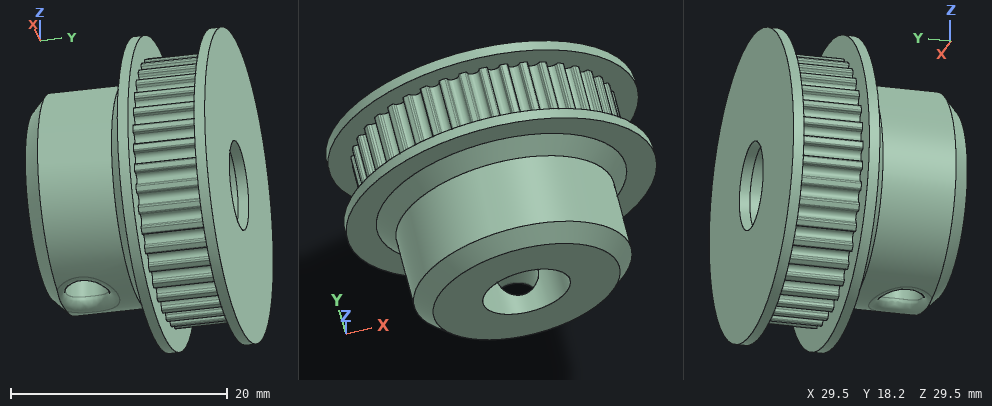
import cadquery as cq
import math

flange_radius = 14.73
flange_thickness = 1.0
hub_radius = 10.37
hub_length = 6.98
bevel = 1.5
bore_radius = 4.15

tooth_count = 40
tooth_radius = 12.52
belt_width = 6.25
groove_depth = 0.75
floor_radius = 0.55
flank_radius = 1.0
tip_radius = 0.15

screw_radius = 2.0
screw_mouth_fillet = 1.0
screw_y = 3.9

hub_start_y = bevel
hub_end_y = hub_start_y + hub_length
front_flange_y = hub_end_y + bevel
rim_y = front_flange_y + flange_thickness
back_flange_y = rim_y + belt_width


def disc(radius, start_y, length):
    """Solid cylinder around the pulley axis."""
    return cq.Workplane("XZ", origin=(0, start_y, 0)).circle(radius).extrude(-length)


def turned(profile):
    """Solid of revolution around the pulley axis from (radius, Y) points."""
    return cq.Workplane("XY").polyline(profile).close().revolve(360, (0, 0, 0), (0, 1, 0))


def make_screw_hole():
    """Cutter for the screw hole, pointing along -Z from the pulley axis."""
    return cq.Workplane("XY", origin=(0, screw_y, 0)).circle(screw_radius).extrude(-flange_radius)


def make_hub():
    """Bored hub with a rounded screw hole and bevels at both ends."""
    tube = disc(hub_radius, 0, front_flange_y).cut(disc(bore_radius, 0, front_flange_y))
    tube = tube.cut(make_screw_hole())
    below_axis = cq.selectors.BoxSelector(
        (-hub_radius, hub_start_y, -hub_radius),
        (hub_radius, hub_end_y, -(hub_radius + bore_radius) / 2),
    )
    tube = tube.edges(below_axis).fillet(screw_mouth_fillet)

    nose_bevel = turned([(hub_radius - bevel, 0), (hub_radius, 0), (hub_radius, bevel)])
    flare = turned([
        (bore_radius, front_flange_y),
        (hub_radius + bevel, front_flange_y),
        (hub_radius, hub_end_y),
        (bore_radius, hub_end_y),
    ])
    return tube.cut(nose_bevel).union(flare)


def polar(centre, radius, angle):
    """Point on a circle, with the angle in radians from the +X direction."""
    return (centre[0] + radius * math.cos(angle), centre[1] + radius * math.sin(angle))


def direction(start, end):
    """Angle in radians of the line from start to end."""
    return math.atan2(end[1] - start[1], end[0] - start[0])


def mirrored(point):
    return (-point[0], point[1])


def make_groove():
    """Cutter for the groove at the top of the rim, symmetric about X = 0."""
    floor_centre = (0, tooth_radius - groove_depth + floor_radius)
    flank_rise = tooth_radius - floor_centre[1]
    flank_shift = math.sqrt((flank_radius - floor_radius) ** 2 - flank_rise ** 2)
    flank_centre = (-flank_shift, tooth_radius)
    flank_start_angle = direction(flank_centre, floor_centre)

    axis = (0, 0)
    to_flank = math.hypot(*flank_centre)
    to_tip = tooth_radius - tip_radius
    flank_to_tip = flank_radius + tip_radius
    corner_angle = math.acos((to_flank ** 2 + to_tip ** 2 - flank_to_tip ** 2) / (2 * to_flank * to_tip))
    tip_angle = direction(axis, flank_centre) - corner_angle
    tip_centre = polar(axis, to_tip, tip_angle)
    flank_end_angle = direction(flank_centre, tip_centre)

    floor_end = polar(flank_centre, flank_radius, flank_start_angle)
    flank_mid = polar(flank_centre, flank_radius, (flank_start_angle + flank_end_angle) / 2)
    flank_end = polar(flank_centre, flank_radius, flank_end_angle)
    tip_mid = polar(tip_centre, tip_radius, (tip_angle + flank_end_angle + math.pi) / 2)
    tip_end = polar(axis, tooth_radius, tip_angle)

    return (
        cq.Workplane("XZ", origin=(0, rim_y, 0))
        .moveTo(*mirrored(tip_end))
        .threePointArc(mirrored(tip_mid), mirrored(flank_end))
        .threePointArc(mirrored(flank_mid), mirrored(floor_end))
        .threePointArc((0, tooth_radius - groove_depth), floor_end)
        .threePointArc(flank_mid, flank_end)
        .threePointArc(tip_mid, tip_end)
        .threePointArc((0, tooth_radius), mirrored(tip_end))
        .close()
        .extrude(-belt_width)
    )


def make_rim():
    """Bored, toothed rim with a tooth centred at the top."""
    pitch = 360 / tooth_count
    groove = make_groove()
    grooves = [
        groove.rotate((0, 0, 0), (0, 1, 0), (index + 0.5) * pitch).val()
        for index in range(tooth_count)
    ]
    ring = disc(tooth_radius, rim_y, belt_width).cut(disc(bore_radius, rim_y, belt_width))
    return cq.Workplane(ring.val().cut(*grooves))


def bored_flange(start_y):
    """Flat ring with the flange diameter outside and the bore inside."""
    bore = disc(bore_radius, start_y, flange_thickness)
    return disc(flange_radius, start_y, flange_thickness).cut(bore)


def make_pulley():
    """Hub, front flange and toothed rim in one piece."""
    return make_hub().union(bored_flange(front_flange_y)).union(make_rim())


def make_back_flange():
    """Separate ring that closes the back of the rim."""
    return bored_flange(back_flange_y)


pulley = make_pulley()
back_flange = make_back_flange()
result = cq.Compound.makeCompound([pulley.val(), back_flange.val()])